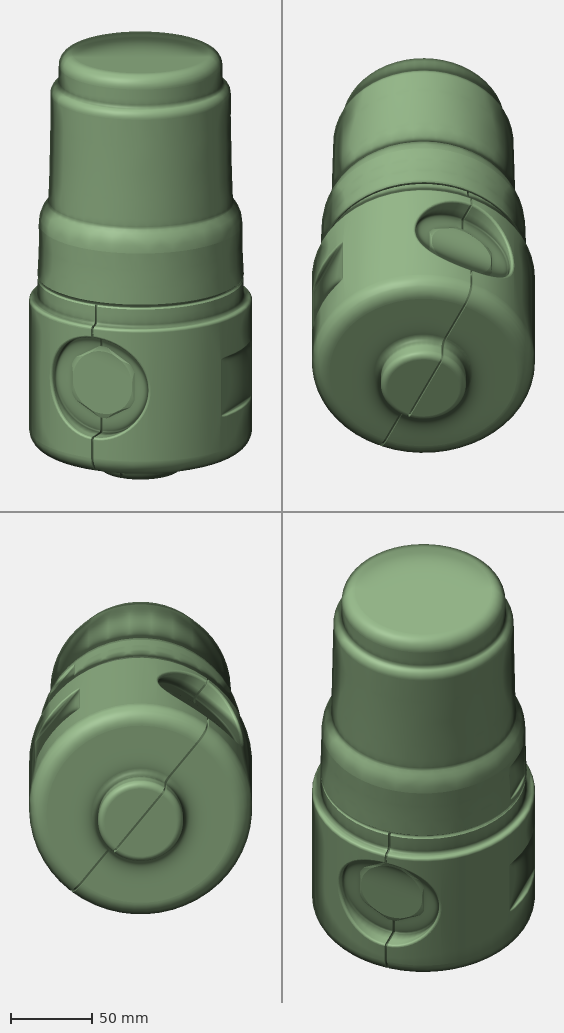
import cadquery as cq
import math

total_height = 267.5

housing_radius = 68.5
housing_bottom_z = 15.2
housing_bottom_fillet = 10.7
ledge_z = 110.5
ledge_fillet = 2.0
foot_radius = 26.2
foot_edge_fillet = 4.0
foot_root_fillet = 3.7
collar_radius = 63.0
collar_root_fillet = 2.0
collar_top_z = 122.8
rim_chamfer = 0.8

neck_radius = 60.2
sleeve_bottom_z = 124.5

lower_barrel_bottom_radius = 63.5
lower_barrel_top_radius = 62.5
lower_barrel_top_z = 157.8
upper_barrel_bottom_radius = 56.7
upper_barrel_bottom_z = 173.0
upper_barrel_top_radius = 55.5
upper_barrel_top_z = 241.5
cap_radius = 50.3
cap_bottom_z = 249.5
cap_fillet = 8.0
shoulder_root_radius = 2.7

recess_z = 71.2
recess_radius = 32.0
recess_floor_y = 55.0
recess_edge_fillet = 1.3
recess_floor_fillet = 1.0
hex_across_flats = 42.3
hex_corner_radius = 23.0
hex_face_radius = 20.0
hex_face_across_flats = 39.9
hex_height = 0.8

slit_width = 1.5
slit_depth = 2.0
slit_x = -1.0

housing_flat_width = 44.7
housing_flat_height = 37.0
housing_flat_z = 66.5
housing_flat_x = 64.5
sleeve_flat_width = 26.2
sleeve_flat_height = 25.7
sleeve_flat_z = 141.8
sleeve_flat_x = 61.3
flat_corner_radius = 1.3
flat_rim_fillet = 1.0
flat_floor_fillet = 1.0


def housing_outline(plane="XZ", inner_edge=0.0, top_z=collar_top_z):
    """Half outline of the housing, from the radius inner_edge outward and up to top_z."""
    diagonal = 1 - math.sqrt(0.5)
    foot_edge = foot_edge_fillet * diagonal
    foot_root = foot_root_fillet * diagonal
    bottom_edge = housing_bottom_fillet * diagonal
    ledge_edge = ledge_fillet * diagonal
    collar_root = collar_root_fillet * diagonal
    return (
        cq.Workplane(plane)
        .moveTo(inner_edge, 0)
        .lineTo(foot_radius - foot_edge_fillet, 0)
        .threePointArc((foot_radius - foot_edge, foot_edge), (foot_radius, foot_edge_fillet))
        .lineTo(foot_radius, housing_bottom_z - foot_root_fillet)
        .threePointArc(
            (foot_radius + foot_root, housing_bottom_z - foot_root),
            (foot_radius + foot_root_fillet, housing_bottom_z),
        )
        .lineTo(housing_radius - housing_bottom_fillet, housing_bottom_z)
        .threePointArc(
            (housing_radius - bottom_edge, housing_bottom_z + bottom_edge),
            (housing_radius, housing_bottom_z + housing_bottom_fillet),
        )
        .lineTo(housing_radius, ledge_z - ledge_fillet)
        .threePointArc(
            (housing_radius - ledge_edge, ledge_z - ledge_edge),
            (housing_radius - ledge_fillet, ledge_z),
        )
        .lineTo(collar_radius + collar_root_fillet, ledge_z)
        .threePointArc(
            (collar_radius + collar_root, ledge_z + collar_root),
            (collar_radius, ledge_z + collar_root_fillet),
        )
        .lineTo(collar_radius, top_z)
        .lineTo(inner_edge, top_z)
        .close()
    )


def add_shoulder(outline, outer_radius, bottom_z, inner_radius, top_z):
    """Draw an S-curve upward and inward: a convex arc, then a small concave root arc.

    Both arcs end vertical and meet tangentially.
    """
    step = outer_radius - inner_radius
    rise = top_z - bottom_z
    radius_sum = (step**2 + rise**2) / (2 * step)
    convex_radius = radius_sum - shoulder_root_radius
    turn = math.asin(rise / radius_sum)

    def on_convex(angle):
        return (
            outer_radius - convex_radius * (1 - math.cos(angle)),
            bottom_z + convex_radius * math.sin(angle),
        )

    def on_root(angle):
        return (
            inner_radius + shoulder_root_radius * (1 - math.cos(angle)),
            top_z - shoulder_root_radius * math.sin(angle),
        )

    return (
        outline.threePointArc(on_convex(turn / 2), on_convex(turn))
        .threePointArc(on_root(turn / 2), (inner_radius, top_z))
    )


def revolve_outline(outline):
    """Revolve about Z and turn the seam to a diagonal, clear of the flats and recesses."""
    return outline.revolve(360, (0, 0, 0), (0, 1, 0)).rotate((0, 0, 0), (0, 0, 1), 45)


def make_housing():
    """Lower body of revolution with a chamfered collar rim."""
    return revolve_outline(housing_outline()).faces(">Z").edges().chamfer(rim_chamfer)


def make_sleeve():
    """Upper body: a tapered lower barrel, a tapered upper barrel and a rounded cap."""
    cap_edge = cap_fillet * (1 - math.sqrt(0.5))
    outline = (
        cq.Workplane("XZ")
        .moveTo(0, sleeve_bottom_z)
        .lineTo(lower_barrel_bottom_radius - rim_chamfer, sleeve_bottom_z)
        .lineTo(lower_barrel_bottom_radius, sleeve_bottom_z + rim_chamfer)
        .lineTo(lower_barrel_top_radius, lower_barrel_top_z)
    )
    outline = add_shoulder(
        outline,
        lower_barrel_top_radius,
        lower_barrel_top_z,
        upper_barrel_bottom_radius,
        upper_barrel_bottom_z,
    )
    outline = outline.lineTo(upper_barrel_top_radius, upper_barrel_top_z)
    outline = add_shoulder(
        outline, upper_barrel_top_radius, upper_barrel_top_z, cap_radius, cap_bottom_z
    )
    outline = (
        outline.lineTo(cap_radius, total_height - cap_fillet)
        .threePointArc(
            (cap_radius - cap_edge, total_height - cap_edge),
            (cap_radius - cap_fillet, total_height),
        )
        .lineTo(0, total_height)
        .close()
    )
    return revolve_outline(outline)


def make_neck():
    """Core that joins housing and sleeve, narrower than both."""
    overlap = 2.7
    return (
        cq.Workplane("XY", origin=(0, 0, collar_top_z - overlap))
        .circle(neck_radius)
        .extrude(sleeve_bottom_z - collar_top_z + 2 * overlap)
    )


def cut_recesses(body):
    """Cut the two round recesses and round their floor and rim edges."""
    margin = 2.7
    reach = recess_radius + margin
    for side in (-1, 1):
        plane = cq.Plane(
            origin=(0, side * recess_floor_y, recess_z), xDir=(1, 0, 1), normal=(0, side, 0)
        )
        cutter = cq.Workplane(plane).circle(recess_radius).extrude(housing_radius)
        cutter = cutter.faces("<Y" if side > 0 else ">Y").edges().fillet(recess_floor_fillet)
        body = body.cut(cutter)
        rim = cq.selectors.BoxSelector(
            (-reach, side * (recess_floor_y + margin), recess_z - reach),
            (reach, side * (housing_radius + margin), recess_z + reach),
            boundingbox=True,
        )
        body = body.edges(rim).fillet(recess_edge_fillet)
    return body


def cut_slit(body):
    """Cut a groove of even depth along the housing surface in the plane of the recess axes."""
    half_core = (
        housing_outline("YZ", -2 * slit_depth, collar_top_z + 2 * slit_depth)
        .offset2D(-slit_depth)
        .extrude(2 * slit_width, both=True)
    )
    core = half_core.union(half_core.mirror("XZ"))
    for side in (-1, 1):
        plane = cq.Plane(
            origin=(0, side * (recess_floor_y - slit_depth), recess_z),
            xDir=(1, 0, 0),
            normal=(0, side, 0),
        )
        clearance = cq.Workplane(plane).circle(recess_radius + slit_depth).extrude(housing_radius)
        core = core.cut(clearance)
    blade = cq.Workplane("XY").box(
        slit_width, 4 * housing_radius, collar_top_z, centered=(True, True, False)
    )
    return body.cut(blade.cut(core).translate((slit_x, 0, 0)))


def make_hex_head(side):
    """Low hexagon head with drafted sides and conical corners; its root fills the slit below."""
    plane = cq.Plane(
        origin=(0, side * recess_floor_y, recess_z), xDir=(0, 0, 1), normal=(0, side, 0)
    )
    corner_diameter = hex_across_flats / math.cos(math.pi / 6)
    draft = math.degrees(math.atan2((hex_across_flats - hex_face_across_flats) / 2, hex_height))
    prism = cq.Workplane(plane).polygon(6, corner_diameter).extrude(hex_height, taper=draft)
    blank = (
        cq.Workplane(plane)
        .circle(hex_corner_radius)
        .workplane(offset=hex_height)
        .circle(hex_face_radius)
        .loft()
    )
    root = (
        cq.Workplane(plane)
        .polygon(6, corner_diameter)
        .extrude(-slit_depth)
        .intersect(cq.Workplane(plane).circle(hex_corner_radius).extrude(-slit_depth))
    )
    return prism.intersect(blank).union(root)


def make_flat_cutter(width, height, floor_x):
    """Block with rounded corners reaching outward along -X from floor_x."""
    return (
        cq.Workplane("YZ", origin=(-floor_x, 0, 0))
        .rect(width, height)
        .extrude(-housing_radius)
        .edges("|X")
        .fillet(flat_corner_radius)
        .faces(">X")
        .edges()
        .fillet(flat_floor_fillet)
    )


def round_flat_rims(body, surface_type):
    """Round every closed rim that the flats leave in the surfaces of one type."""
    rims = [wire for face in body.faces(surface_type).vals() for wire in face.innerWires()]
    rim_edges = [edge for wire in rims for edge in wire.Edges()]
    return body.newObject(rim_edges).fillet(flat_rim_fillet)


def cut_housing_flats(body):
    cutter = make_flat_cutter(housing_flat_width, housing_flat_height, housing_flat_x)
    cutter = cutter.translate((0, 0, housing_flat_z))
    body = body.cut(cutter).cut(cutter.mirror("YZ"))
    return round_flat_rims(body, "%CYLINDER")


def cut_sleeve_flat(body):
    """Cut the flat on the -X side of the sleeve, its floor parallel to the barrel's taper."""
    taper = math.degrees(
        math.atan2(
            lower_barrel_bottom_radius - lower_barrel_top_radius,
            lower_barrel_top_z - sleeve_bottom_z,
        )
    )
    cutter = (
        make_flat_cutter(sleeve_flat_width, sleeve_flat_height, sleeve_flat_x)
        .rotate((-sleeve_flat_x, 0, 0), (-sleeve_flat_x, 1, 0), taper)
        .translate((0, 0, sleeve_flat_z))
    )
    return round_flat_rims(body.cut(cutter), "%CONE")


housing = cut_slit(cut_recesses(cut_housing_flats(make_housing())))
result = housing.union(make_neck()).union(cut_sleeve_flat(make_sleeve()))
for head_side in (-1, 1):
    result = result.union(make_hex_head(head_side))